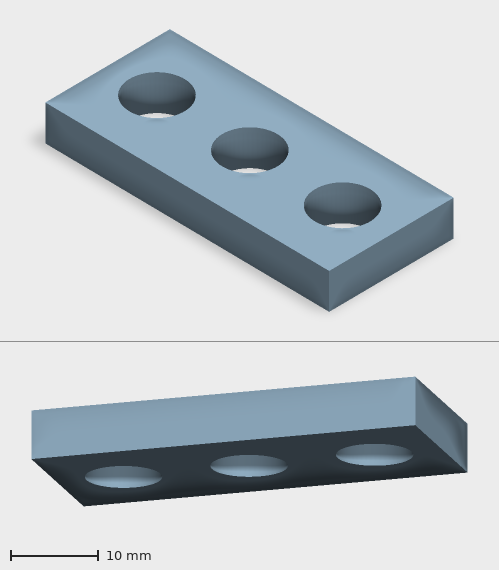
import cadquery as cq

length = 45.95
width = 20.1
thickness = 5.8

hole_diameter = 8.85
hole_pitch = 15.05
hole_count = 3
row_offset = 0.05

plate = cq.Workplane("XY").box(length, width, thickness)

result = (
    plate.faces(">Z")
    .workplane()
    .center(row_offset, 0)
    .rarray(hole_pitch, 0.45, hole_count, 1)
    .hole(hole_diameter)
)